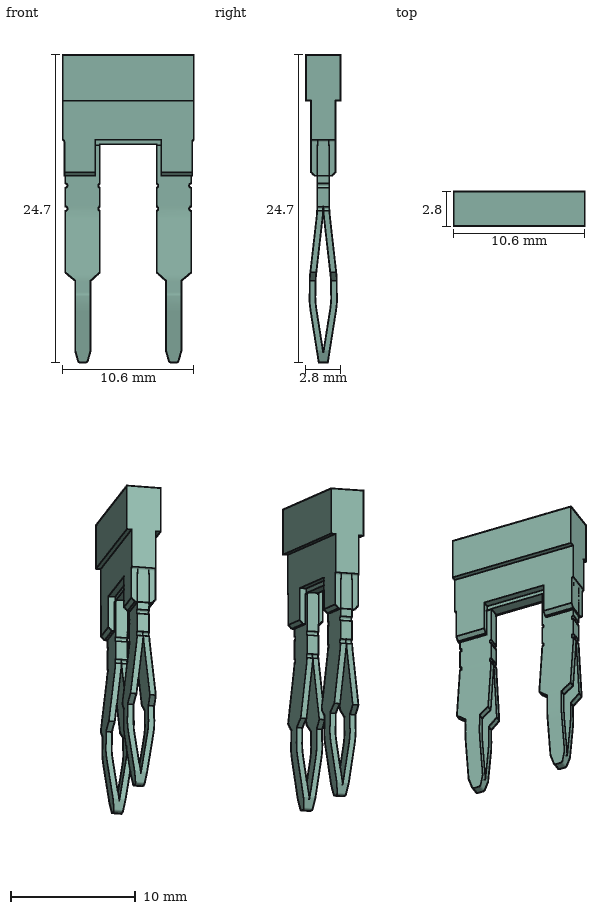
import cadquery as cq
import math

TOTAL_HEIGHT = 24.72

CAP_WIDTH = 10.55
CAP_DEPTH = 2.8
CAP_BOTTOM = 21.04
BODY_DEPTH = 2.0
STEP_Z = 17.9
LOWER_WIDTH = 10.28
STEP_CORNER = 0.2
GAP_WIDTH = 5.3
HOUSING_BOTTOM = 15.0
HOUSING_CHAMFER = 0.3

SHEET = 0.5
BAR_DEPTH = 0.9
BAR_TOP = 19.78
BAR_BOTTOM = 17.53
STEM_TOP = 17.45
LEG_OUTER_X = 5.07
LEG_INNER_X = 2.27
TIP_OUTER_X = 4.28
TIP_INNER_X = 3.02

NOTCH_LEVELS = (14.21, 12.35)
NOTCH_RADIUS = 0.17
INNER_NOTCH_DEPTH = 0.12

SHOULDER_TOP = 7.25
SHOULDER_BOTTOM = 6.58
TAPER_TOP = 0.96
TAPER_INSET = 0.27
TIP_RADIUS = 0.22

SPREAD_ANGLE = 6.5
JOG_ANGLE = 11.0
CLOSING_ANGLE = -9.0
FORK_Z = 12.55
ARM_STRETCHES = (
    (11.65, SPREAD_ANGLE),
    (7.05, SPREAD_ANGLE),
    (6.53, 0),
    (5.6, 0),
    (5.5, JOG_ANGLE),
    (5.36, 0),
    (4.18, CLOSING_ANGLE),
    (0, CLOSING_ANGLE),
)


def make_housing_block():
    """Cap over a thinner body with two legs and a gap between them."""
    cap_height = TOTAL_HEIGHT - CAP_BOTTOM
    cap = cq.Workplane("XY").workplane(offset=CAP_BOTTOM)
    cap = cap.rect(CAP_WIDTH, CAP_DEPTH).extrude(cap_height)

    step = (CAP_WIDTH - LOWER_WIDTH) / 2
    corner_angle = math.acos(1 - step / STEP_CORNER)
    corner_height = STEP_CORNER * math.sin(corner_angle)
    half_lower = LOWER_WIDTH / 2
    corner_mid = (
        half_lower + STEP_CORNER * (1 - math.cos(corner_angle / 2)),
        STEP_Z - corner_height + STEP_CORNER * math.sin(corner_angle / 2),
    )
    half_body = (
        cq.Workplane("XZ")
        .moveTo(0, CAP_BOTTOM)
        .lineTo(CAP_WIDTH / 2, CAP_BOTTOM)
        .lineTo(CAP_WIDTH / 2, STEP_Z)
        .threePointArc(corner_mid, (half_lower, STEP_Z - corner_height))
        .lineTo(half_lower, HOUSING_BOTTOM)
        .lineTo(GAP_WIDTH / 2, HOUSING_BOTTOM)
        .lineTo(GAP_WIDTH / 2, STEP_Z)
        .lineTo(0, STEP_Z)
        .close()
        .extrude(BODY_DEPTH / 2, both=True)
    )
    half_body = half_body.faces("<Z").edges("|X").chamfer(HOUSING_CHAMFER)
    return cap.union(half_body).union(half_body.mirror("YZ"))


def inset_point(y, z, lean, depth):
    """Point at a depth into the sheet, square to an outer face with the given lean."""
    return (y - depth * math.cos(lean), z - depth * math.sin(lean))


def trace_arm_face(depth):
    """Stretches of the arm at a depth below its outer face, each as (start, mid, end, is_straight)."""
    y, z, lean = SHEET, FORK_Z, 0.0
    stretches = []
    for end_z, end_degrees in ARM_STRETCHES:
        end_lean = math.radians(end_degrees)
        mid_lean = (lean + end_lean) / 2
        end_y = y + (z - end_z) * math.tan(mid_lean)
        is_straight = end_lean == lean
        if is_straight:
            mid_y = (y + end_y) / 2
            mid_z = (z + end_z) / 2
        else:
            radius = (z - end_z) / (math.sin(end_lean) - math.sin(lean))
            mid_y = y + radius * (math.cos(lean) - math.cos(mid_lean))
            mid_z = z - radius * (math.sin(mid_lean) - math.sin(lean))
        start = inset_point(y, z, lean, depth)
        mid = inset_point(mid_y, mid_z, mid_lean, depth)
        end = inset_point(end_y, end_z, end_lean, depth)
        stretches.append((start, mid, end, is_straight))
        y, z, lean = end_y, end_z, end_lean
    return stretches


def draw_stretch(path, mid, end, is_straight):
    """Continue a path with a line, or with an arc through the mid point."""
    return path.lineTo(*end) if is_straight else path.threePointArc(mid, end)


def make_arm_band():
    """Side profile of one spring arm, as a band across the whole width."""
    outer = trace_arm_face(0)
    *inner, (closing_start, _, _, _) = trace_arm_face(SHEET)
    closing_y, closing_z = closing_start
    meeting_z = closing_z - closing_y / math.tan(math.radians(-CLOSING_ANGLE))

    band = cq.Workplane("YZ").moveTo(0, FORK_Z).lineTo(SHEET, FORK_Z)
    for _, mid, end, is_straight in outer:
        band = draw_stretch(band, mid, end, is_straight)
    band = band.lineTo(0, 0).lineTo(0, meeting_z).lineTo(closing_y, closing_z)
    for start, mid, _, is_straight in reversed(inner):
        band = draw_stretch(band, mid, start, is_straight)
    return band.close().extrude(CAP_WIDTH / 2, both=True)


def make_side_profile():
    """Bar, stem and both spring arms as one band across the whole width."""
    stem_height = STEM_TOP - FORK_Z
    bar_height = BAR_TOP - STEM_TOP
    stem = cq.Workplane("XY").workplane(offset=FORK_Z).rect(CAP_WIDTH, 2 * SHEET).extrude(stem_height)
    bar = cq.Workplane("XY").workplane(offset=STEM_TOP).rect(CAP_WIDTH, BAR_DEPTH).extrude(bar_height)
    arm = make_arm_band()
    return stem.union(bar).union(arm).union(arm.mirror("XZ"))


def make_leg_blank():
    """Front outline of the leg on the +X side, notched along both edges."""
    outline = [
        (LEG_INNER_X, BAR_TOP),
        (LEG_OUTER_X, BAR_TOP),
        (LEG_OUTER_X, SHOULDER_TOP),
        (TIP_OUTER_X, SHOULDER_BOTTOM),
        (TIP_OUTER_X, TAPER_TOP),
        (TIP_OUTER_X - TAPER_INSET, 0),
        (TIP_INNER_X + TAPER_INSET, 0),
        (TIP_INNER_X, TAPER_TOP),
        (TIP_INNER_X, SHOULDER_BOTTOM),
        (LEG_INNER_X, SHOULDER_TOP),
    ]
    blank = cq.Workplane("XZ").polyline(outline).close().extrude(CAP_DEPTH / 2, both=True)
    blank = blank.faces("<Z").edges("|Y").fillet(TIP_RADIUS)
    inner_notch_x = LEG_INNER_X + INNER_NOTCH_DEPTH - NOTCH_RADIUS
    notch_centres = [(x, z) for x in (LEG_OUTER_X, inner_notch_x) for z in NOTCH_LEVELS]
    notches = cq.Workplane("XZ").pushPoints(notch_centres).circle(NOTCH_RADIUS)
    return blank.cut(notches.extrude(CAP_DEPTH / 2, both=True))


def make_jumper():
    """Both legs and the bar that joins them, shaped by the side profile."""
    leg = make_leg_blank()
    bar_height = BAR_TOP - BAR_BOTTOM
    bar = cq.Workplane("XY").workplane(offset=BAR_BOTTOM)
    bar = bar.rect(2 * LEG_OUTER_X, CAP_DEPTH).extrude(bar_height)
    blank = bar.union(leg).union(leg.mirror("YZ"))
    return blank.intersect(make_side_profile())


jumper = make_jumper()
housing = make_housing_block().cut(jumper)

result = cq.Compound.makeCompound([housing.solids().val(), jumper.solids().val()])